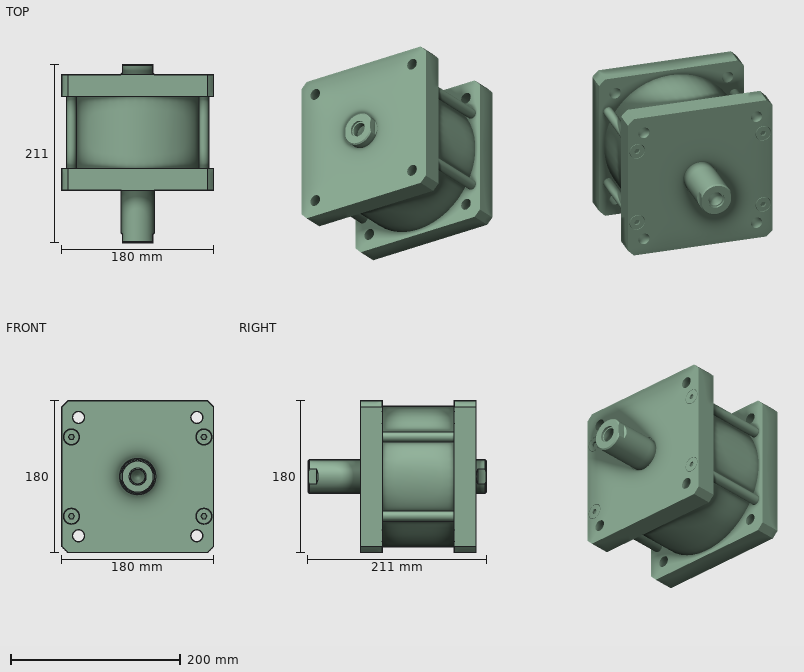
import math

import cadquery as cq


plate_width = 180
plate_thickness = 26
corner_chamfer = 7.5
barrel_diameter = 167
barrel_length = 85
back_face_y = 2 * plate_thickness + barrel_length

mount_hole_diameter = 13.84
mount_hole_offset = 70

tie_rod_diameter = 12
tie_rod_x = 78.4
tie_rod_z = 46.9
head_diameter = 18
head_bore_diameter = 19
head_bore_depth = 12
socket_across_flats = 6
socket_depth = 2.5

rod_diameter = 40
rod_front_length = 62
rod_back_length = 12
rod_end_chamfer = 1.5
rod_front_y = -rod_front_length
rod_back_y = back_face_y + rod_back_length

flat_spacing = 36
flat_length = 10

rod_bore_diameter = 43
rod_bore_depth = 1.5

end_hole_diameter = 17.29
end_hole_mouth_diameter = 20.25
end_hole_mouth_depth = 3
end_hole_depth = 30
drill_point_angle = 118


def cylinder_along_y(diameter, start_y, length, x=0, z=0):
    return cq.Workplane("XZ", origin=(x, start_y, z)).circle(diameter / 2).extrude(-length)


def end_plate(start_y):
    return (
        cq.Workplane("XY")
        .box(plate_width, plate_thickness, plate_width, centered=(True, False, True))
        .edges("|Y")
        .chamfer(corner_chamfer)
        .translate((0, start_y, 0))
    )


def piston_rod():
    return (
        cylinder_along_y(rod_diameter, rod_front_y, rod_back_y - rod_front_y)
        .faces("<Y or >Y")
        .chamfer(rod_end_chamfer)
    )


def end_hole():
    """Blind hole profile entering along +Y from Y = 0, with a wider mouth and a drill point."""
    radius = end_hole_diameter / 2
    mouth_radius = end_hole_mouth_diameter / 2
    point_depth = radius / math.tan(math.radians(drill_point_angle / 2))
    return (
        cq.Workplane("XY")
        .polyline(
            [
                (0, 0),
                (mouth_radius, 0),
                (mouth_radius, end_hole_mouth_depth),
                (radius, end_hole_mouth_depth),
                (radius, end_hole_depth),
                (0, end_hole_depth + point_depth),
            ]
        )
        .close()
        .revolve(360, (0, 0, 0), (0, 1, 0))
    )


def wrench_flat():
    """Cutter for one flat on the -X side of a rod end at Y = 0, with a 45 degree run-out."""
    flat_x = -flat_spacing / 2
    clear_x = -rod_diameter
    run_out_y = flat_length + flat_x - clear_x
    return (
        cq.Workplane("XY", origin=(0, 0, -rod_diameter / 2))
        .polyline([(flat_x, 0), (flat_x, flat_length), (clear_x, run_out_y), (clear_x, 0)])
        .close()
        .extrude(rod_diameter)
    )


def rod_end_cuts():
    """Everything cut from a rod end whose face lies at Y = 0."""
    flat = wrench_flat()
    return end_hole().union(flat).union(flat.mirror("YZ"))


def head_gap_and_socket(x, z):
    """Ring gap around one screw head, together with its hexagon socket."""
    gap = cylinder_along_y(head_bore_diameter, 0, head_bore_depth, x, z).cut(
        cylinder_along_y(head_diameter, 0, head_bore_depth, x, z)
    )
    corner_diameter = socket_across_flats / math.cos(math.pi / 6)
    socket = cq.Workplane("XZ", origin=(x, 0, z)).polygon(6, corner_diameter).extrude(-socket_depth)
    return gap.union(socket)


def four_corners(x, z):
    return [(sx * x, sz * z) for sx in (-1, 1) for sz in (-1, 1)]


body = end_plate(0).union(end_plate(plate_thickness + barrel_length))
body = body.union(cylinder_along_y(barrel_diameter, plate_thickness, barrel_length))
for x, z in four_corners(tie_rod_x, tie_rod_z):
    body = body.union(cylinder_along_y(tie_rod_diameter, plate_thickness, barrel_length, x, z))
    body = body.cut(head_gap_and_socket(x, z))

for x, z in four_corners(mount_hole_offset, mount_hole_offset):
    body = body.cut(cylinder_along_y(mount_hole_diameter, 0, plate_thickness, x, z))
    body = body.cut(
        cylinder_along_y(mount_hole_diameter, back_face_y - plate_thickness, plate_thickness, x, z)
    )

body = body.cut(cylinder_along_y(rod_bore_diameter, 0, rod_bore_depth))
rod = piston_rod()
rod = rod.cut(rod_end_cuts().translate((0, rod_front_y, 0)))
rod = rod.cut(rod_end_cuts().mirror("XZ").translate((0, rod_back_y, 0)))

result = body.union(rod)